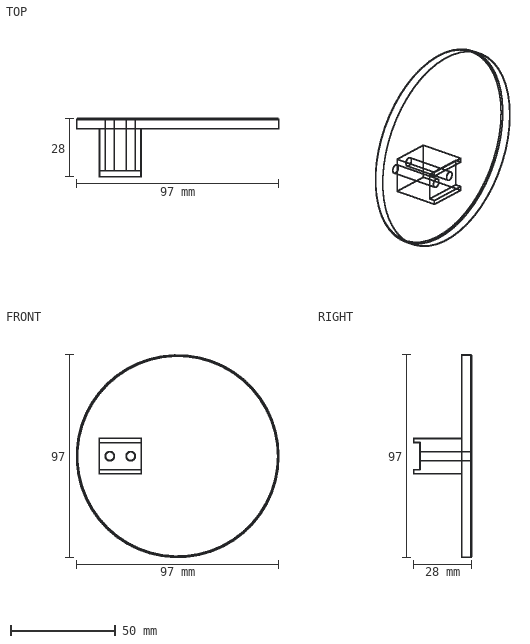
import cadquery as cq

disc_diameter = 97.0
disc_thickness = 5.0
back_edge_chamfer = 0.6

block_width = 20.0
block_height = 17.0
block_length = 23.0
block_center_x = -27.5

lip_thickness = 2.0
channel_depth = 3.0
channel_height = block_height - 2 * lip_thickness

hole_diameter = 4.2
hole_spacing = 10.0


def make_disc():
    """Round plate with a chamfer around its back edge."""
    disc = cq.Workplane("XZ").circle(disc_diameter / 2).extrude(-disc_thickness)
    return disc.faces(">Y").edges().chamfer(back_edge_chamfer)


def make_block():
    """Rectangular block with the channel cut along X through its free end."""
    block = (
        cq.Workplane("XZ")
        .center(block_center_x, 0)
        .rect(block_width, block_height)
        .extrude(block_length)
    )
    channel = (
        cq.Workplane("XZ", origin=(block_center_x, -block_length, 0))
        .rect(block_width, channel_height)
        .extrude(-channel_depth)
    )
    return block.cut(channel)


def make_holes():
    """Pair of cylinders running the full depth of the part."""
    return (
        cq.Workplane("XZ", origin=(block_center_x, -block_length, 0))
        .rarray(hole_spacing, 1, 2, 1)
        .circle(hole_diameter / 2)
        .extrude(-(block_length + disc_thickness))
    )


result = make_disc().union(make_block()).cut(make_holes())